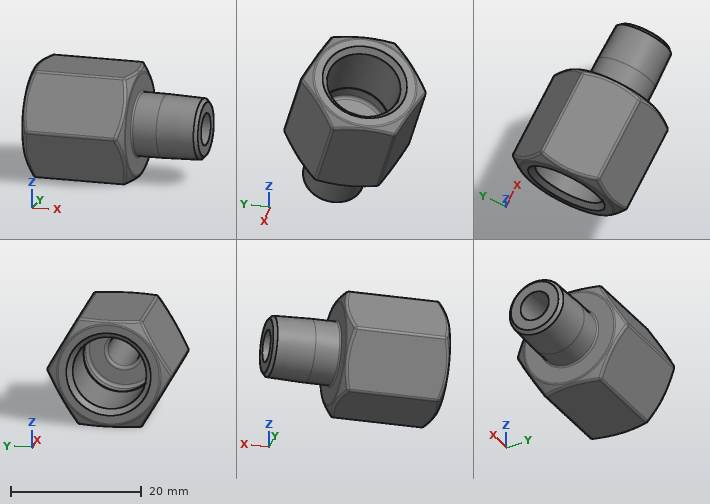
import cadquery as cq
import math

total_length = 27.0
body_length = 16.5

across_flats = 17.0
hexagon_sides = 6
end_face_dia = 15.98
corner_angle = 30.0
blank_clearance = 0.27
edge_round = 0.5

ROUND_MID_OFFSET = 1 - math.sqrt(0.5)

spigot_dia = 9.88
root_round = 0.25
taper_start = 20.52
taper_ratio = 1 / 16
tip_chamfer = 0.55

bore_dia = 11.45
mouth_dia = 13.15
bore_depth = 12.95
relief_dia = 11.65
relief_length = 2.43
bore_floor_round = 0.5
passage_dia = 5.0
passage_round = 0.5


def revolve_about_x(profile):
    """Turn a closed profile drawn as (x, radius) around the X axis."""
    return profile.close().revolve(360, (0, 0, 0), (1, 0, 0))


def hexagon_body():
    corner_radius = across_flats / 2 / math.cos(math.pi / hexagon_sides)
    end_radius = end_face_dia / 2
    blank_radius = corner_radius + blank_clearance
    cone_length = (blank_radius - end_radius) * math.tan(math.radians(corner_angle))

    prism = cq.Workplane("YZ").polygon(hexagon_sides, 2 * corner_radius).extrude(body_length)
    blank = revolve_about_x(
        cq.Workplane("XZ")
        .lineTo(0, end_radius)
        .lineTo(cone_length, blank_radius)
        .lineTo(body_length - cone_length, blank_radius)
        .lineTo(body_length, end_radius)
        .lineTo(body_length, 0)
    )
    return prism.intersect(blank).edges().fillet(edge_round)


def spigot():
    radius = spigot_dia / 2
    tip_radius = radius - (total_length - taper_start) * taper_ratio / 2
    chamfer_start = total_length - tip_chamfer
    chamfer_start_radius = radius - (chamfer_start - taper_start) * taper_ratio / 2
    foot = body_length / 2
    arc_offset = root_round * ROUND_MID_OFFSET
    return revolve_about_x(
        cq.Workplane("XZ")
        .moveTo(foot, 0)
        .lineTo(foot, radius + root_round)
        .lineTo(body_length, radius + root_round)
        .threePointArc(
            (body_length + arc_offset, radius + arc_offset),
            (body_length + root_round, radius),
        )
        .lineTo(taper_start, radius)
        .lineTo(chamfer_start, chamfer_start_radius)
        .lineTo(total_length, tip_radius - tip_chamfer)
        .lineTo(total_length, 0)
    )


def bore():
    mouth_radius = mouth_dia / 2
    bore_radius = bore_dia / 2
    relief_radius = relief_dia / 2
    passage_radius = passage_dia / 2
    relief_start = bore_depth - relief_length
    floor_offset = bore_floor_round * ROUND_MID_OFFSET
    passage_offset = passage_round * ROUND_MID_OFFSET
    return revolve_about_x(
        cq.Workplane("XZ")
        .lineTo(0, mouth_radius)
        .lineTo(mouth_radius - bore_radius, bore_radius)
        .lineTo(relief_start, bore_radius)
        .lineTo(relief_start, relief_radius)
        .lineTo(bore_depth - bore_floor_round, relief_radius)
        .threePointArc(
            (bore_depth - floor_offset, relief_radius - floor_offset),
            (bore_depth, relief_radius - bore_floor_round),
        )
        .lineTo(bore_depth, passage_radius + passage_round)
        .threePointArc(
            (bore_depth + passage_offset, passage_radius + passage_offset),
            (bore_depth + passage_round, passage_radius),
        )
        .lineTo(total_length, passage_radius)
        .lineTo(total_length, 0)
    )


result = hexagon_body().union(spigot()).cut(bore())